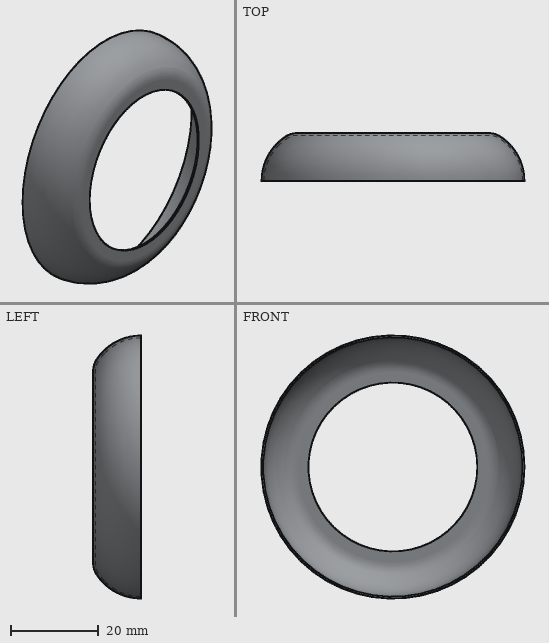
import cadquery as cq
import math

outer_radius = 30.0
depth = 11.0
hole_radius = 19.2
wall = 0.5
bowl_radius = 12.1
corner_radius = 4.8

bowl_center_r = outer_radius - bowl_radius
corner_center_y = depth - corner_radius
center_distance = bowl_radius - corner_radius
blend_angle = math.asin(corner_center_y / center_distance)
floor_radius = bowl_center_r + center_distance * math.cos(blend_angle)


def bowl_point(radius, angle):
    """Point on an arc about the bowl centre; angle is measured from the rim plane."""
    return (bowl_center_r + radius * math.cos(angle), radius * math.sin(angle))


def corner_point(radius, angle):
    """Point on an arc about the blend centre; angle is measured from the rim plane."""
    return (floor_radius + radius * math.cos(angle), corner_center_y + radius * math.sin(angle))


bowl_inner = bowl_radius - wall
corner_inner = corner_radius - wall
bowl_middle = blend_angle / 2
corner_middle = (blend_angle + math.pi / 2) / 2

section = (
    cq.Workplane("XY")
    .moveTo(outer_radius, 0)
    .threePointArc(bowl_point(bowl_radius, bowl_middle), bowl_point(bowl_radius, blend_angle))
    .threePointArc(corner_point(corner_radius, corner_middle), (floor_radius, depth))
    .lineTo(hole_radius, depth)
    .lineTo(hole_radius, depth - wall)
    .lineTo(floor_radius, depth - wall)
    .threePointArc(corner_point(corner_inner, corner_middle), bowl_point(bowl_inner, blend_angle))
    .threePointArc(bowl_point(bowl_inner, bowl_middle), (outer_radius - wall, 0))
    .close()
)

result = section.revolve(360, (0, 0, 0), (0, 1, 0))